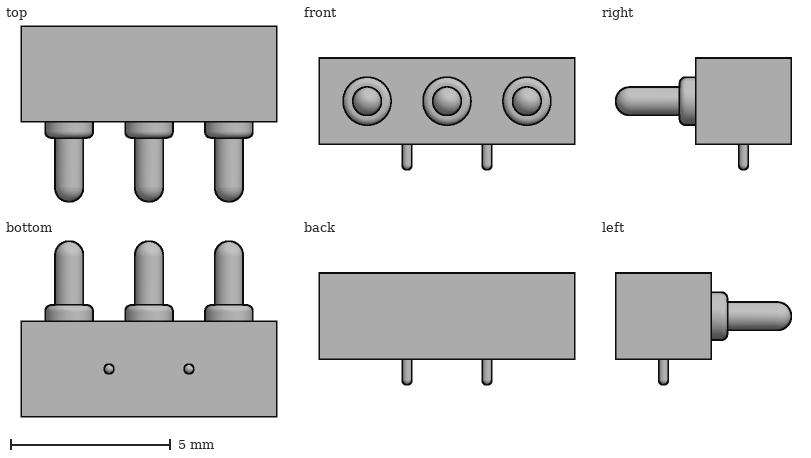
import cadquery as cq

HOUSING_LENGTH = 8.0
HOUSING_DEPTH = 3.0
HOUSING_HEIGHT = 2.7
HOUSING_FRONT_Y = -HOUSING_DEPTH / 2
HOUSING_BOTTOM_Z = -HOUSING_HEIGHT / 2

CONTACT_COUNT = 3
CONTACT_ROW_SPAN = 5.0
CONTACT_PITCH = CONTACT_ROW_SPAN / (CONTACT_COUNT - 1)
COLLAR_DIAMETER = 1.5
COLLAR_LENGTH = 0.5
COLLAR_FILLET = 0.2
PLUNGER_DIAMETER = 0.9
PLUNGER_REACH = 2.5

PEG_COUNT = CONTACT_COUNT - 1
PEG_DIAMETER = 0.3
PEG_REACH = 0.8


def row_positions(count):
    """X positions of a row at the contact pitch, centred on the housing."""
    return [(i - (count - 1) / 2) * CONTACT_PITCH for i in range(count)]


def make_round_ended_pin(diameter, length):
    """Pin along +Z from the origin, with a hemispherical far end."""
    radius = diameter / 2
    shoulder = length - radius
    arc_offset = radius * 0.5 ** 0.5
    return (
        cq.Workplane("XZ")
        .lineTo(radius, 0)
        .lineTo(radius, shoulder)
        .threePointArc((arc_offset, shoulder + arc_offset), (0, length))
        .close()
        .revolve(360, (0, 0), (0, 1))
    )


def face_front(body, x):
    """Turn a body built along +Z towards -Y and seat it on the front face."""
    return body.rotate((0, 0, 0), (1, 0, 0), 90).translate((x, HOUSING_FRONT_Y, 0))


def make_housing():
    """Block with its locating pegs moulded onto the underside."""
    housing = cq.Workplane("XY").box(HOUSING_LENGTH, HOUSING_DEPTH, HOUSING_HEIGHT)
    for x in row_positions(PEG_COUNT):
        peg = make_round_ended_pin(PEG_DIAMETER, PEG_REACH).rotate((0, 0, 0), (1, 0, 0), 180)
        housing = housing.union(peg.translate((x, 0, HOUSING_BOTTOM_Z)))
    return housing


def make_collar(x):
    """Ring with a rounded front rim and a bore that fits the plunger."""
    collar = (
        cq.Workplane("XY")
        .circle(COLLAR_DIAMETER / 2)
        .extrude(COLLAR_LENGTH)
        .faces(">Z")
        .edges()
        .fillet(COLLAR_FILLET)
        .faces(">Z")
        .workplane()
        .hole(PLUNGER_DIAMETER)
    )
    return face_front(collar, x)


def make_plunger(x):
    """Round-nosed contact pin that runs through the collar to the front face."""
    return face_front(make_round_ended_pin(PLUNGER_DIAMETER, PLUNGER_REACH), x)


housing = make_housing()
collars = [make_collar(x) for x in row_positions(CONTACT_COUNT)]
plungers = [make_plunger(x) for x in row_positions(CONTACT_COUNT)]

result = cq.Compound.makeCompound([
    housing.val(),
    *[collar.val() for collar in collars],
    *[plunger.val() for plunger in plungers],
])